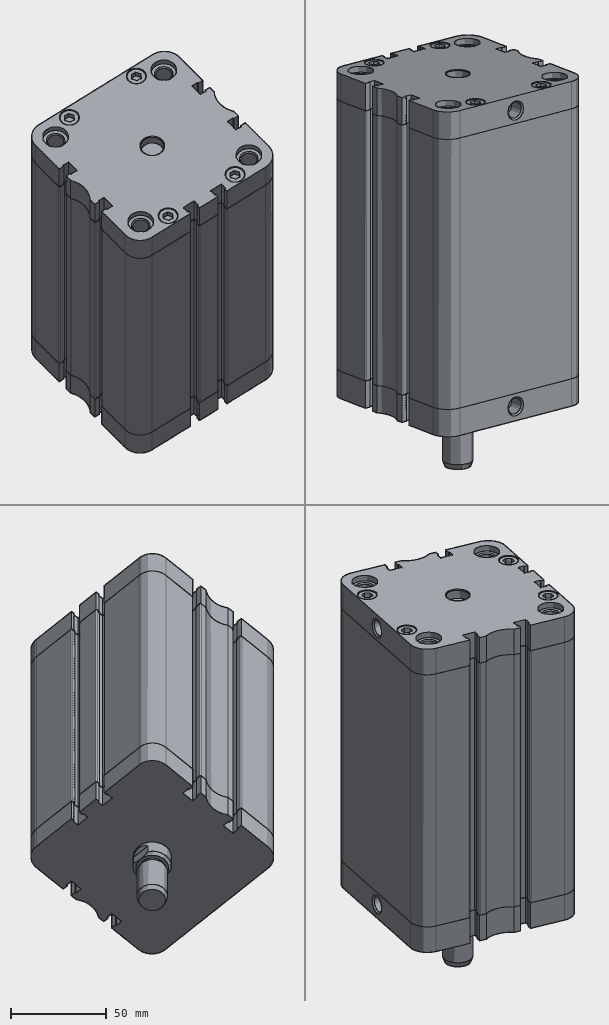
import cadquery as cq
import math

side = 95.5
corner_radius = 10.0
total_length = 216.0
rod_reach = 37.0
housing_length = total_length - rod_reach
cap_length = 15.1
barrel_length = housing_length - 2 * cap_length
rear_face = housing_length

slot_mouth = 5.5
slot_width = 6.7
slot_clearance = 0.2
face_slot_spacing = 30.0
face_slot_depth = 6.5
face_slot_lip = 3.2
side_slot_spacing = 18.1
side_slot_depth = 5.2
side_slot_lip = 2.2
groove_width = 16.5
groove_depth = 2.5
slot_edge_radius = 0.6
groove_edge_radius = 1.0

mount_spacing = 72.0
mount_bore = 13.5
mount_bore_depth = 3.2
mount_rim = 9.7
mount_hole = 8.5
screw_x = 41.7
screw_y = 22.2
screw_recess = 10.4
screw_recess_floor = 9.7
socket_flats = 5.0
socket_depth = 3.2
centre_hole = 12.0
centre_rim = 13.0
centre_hole_depth = 5.2
port_rim = 10.4
port_hole = 8.6
port_depth = 8.6
port_inset = 8.0
port_passage = 5.0
port_passage_depth = 17.3

rod_diameter = 20.0
shoulder_length = 9.5
shoulder_chamfer = 1.5
flats_width = 17.0
flats_start = 3.0
neck_diameter = 13.5
thread_diameter = 16.0
thread_start = 11.7
thread_lead_in = 0.9
thread_end_chamfer = 3.0
thread_end_diameter = 13.8


def slot_cutter(mouth, width, depth, lip, length):
    """T-slot that opens at Y = 0 and goes down to Y = -depth, centred on X = 0."""
    neck = cq.Workplane("XY").rect(mouth, 2 * depth).extrude(length)
    head_depth = depth - lip
    head = cq.Workplane("XY").center(0, -lip - head_depth / 2).rect(width, head_depth).extrude(length)
    return neck.union(head)


def groove_cutter(length):
    """Cylinder whose arc is groove_width wide at Y = 0 and reaches down to Y = -groove_depth."""
    radius = (groove_width**2 / 4 + groove_depth**2) / (2 * groove_depth)
    return cq.Workplane("XY").center(0, radius - groove_depth).circle(radius).extrude(length)


def profile_bar(length, clearance):
    """Length of the housing profile, its slots widened by the clearance."""
    bar = cq.Workplane("XY").rect(side, side).extrude(length).edges("|Z").fillet(corner_radius)
    mouth = slot_mouth + 2 * clearance
    width = slot_width + 2 * clearance
    face_slot = slot_cutter(mouth, width, face_slot_depth + clearance, face_slot_lip - clearance, length)
    side_slot = slot_cutter(mouth, width, side_slot_depth + clearance, side_slot_lip - clearance, length)
    for sign in (-1, 1):
        face_cut = face_slot.translate((sign * face_slot_spacing / 2, side / 2, 0))
        bar = bar.cut(face_cut).cut(face_cut.mirror("XZ"))
        side_cut = side_slot.translate((sign * side_slot_spacing / 2, side / 2, 0))
        bar = bar.cut(side_cut.rotate((0, 0, 0), (0, 0, 1), -90))
    groove = groove_cutter(length).translate((0, side / 2, 0))
    return bar.cut(groove).cut(groove.mirror("XZ"))


def edge_at(x, y):
    """Selector for the lengthwise edge through (x, y)."""
    reach = 0.02
    return cq.selectors.BoxSelector(
        (x - reach, y - reach, -reach), (x + reach, y + reach, barrel_length + reach), boundingbox=True
    )


def make_barrel():
    """Profile bar between the caps, with rounded slot and groove edges."""
    barrel = profile_bar(barrel_length, 0)
    half = side / 2
    for sign in (-1, 1):
        for edge in (-slot_mouth / 2, slot_mouth / 2):
            for slot in (-face_slot_spacing / 2, face_slot_spacing / 2):
                barrel = barrel.edges(edge_at(slot + edge, sign * half)).fillet(slot_edge_radius)
            side_edge = sign * side_slot_spacing / 2 + edge
            barrel = barrel.edges(edge_at(half, side_edge)).fillet(slot_edge_radius)
        for edge in (-groove_width / 2, groove_width / 2):
            barrel = barrel.edges(edge_at(edge, sign * half)).fillet(groove_edge_radius)
    return barrel.translate((0, 0, cap_length))


def cone(large, small):
    """45 degree countersink, wide end at Z = 0 and narrow end below it."""
    depth = (large - small) / 2
    narrow_end = cq.Workplane("XY", origin=(0, 0, -depth)).circle(small / 2)
    return narrow_end.workplane(offset=depth).circle(large / 2).loft()


def plain_hole(diameter, depth):
    """Round cutter from Z = 0 downwards."""
    return cq.Workplane("XY").circle(diameter / 2).extrude(-depth)


def from_left_side(cutter):
    """Turn a downward cutter so that it enters the -X side along +X."""
    return cutter.rotate((0, 0, 0), (0, 1, 0), -90).translate((-side / 2, 0, 0))


def port_cutter():
    """Countersunk air port."""
    return from_left_side(plain_hole(port_hole, port_depth).union(cone(port_rim, port_hole)))


def passage_cutter():
    """Narrow air passage that carries on from the port."""
    return from_left_side(plain_hole(port_passage, port_passage_depth))


def mount_cutter():
    """Stepped mounting hole, entering from Z = 0 downwards."""
    rim = cone(mount_rim, mount_hole).translate((0, 0, -mount_bore_depth))
    return plain_hole(mount_bore, mount_bore_depth).union(rim).union(plain_hole(mount_hole, cap_length))


def screw_cutter():
    """Shallow countersink with a hexagon socket in its floor, entering from Z = 0 downwards."""
    corners = socket_flats / math.cos(math.pi / 6)
    socket = cq.Workplane("XY").polygon(6, corners).extrude(-socket_depth)
    return cone(screw_recess, screw_recess_floor).union(socket.rotate((0, 0, 0), (0, 0, 1), 90))


def make_rear_cap():
    """Cap with stepped mounting holes, screw sockets, a centring hole and an air port."""
    cap = profile_bar(cap_length, slot_clearance).translate((0, 0, rear_face - cap_length))
    face = cq.Workplane("XY", origin=(0, 0, rear_face))
    mounts = face.rect(mount_spacing, mount_spacing, forConstruction=True).vertices()
    cap = cap.cut(mounts.eachpoint(mount_cutter().val(), combine=False))
    screws = face.rect(2 * screw_x, 2 * screw_y, forConstruction=True).vertices()
    cap = cap.cut(screws.eachpoint(screw_cutter().val(), combine=False))
    centre = plain_hole(centre_hole, centre_hole_depth).union(cone(centre_rim, centre_hole))
    cap = cap.cut(centre.translate((0, 0, rear_face)))
    port = port_cutter().union(passage_cutter())
    return cap.cut(port.translate((0, 0, rear_face - port_inset)))


def make_front_cap():
    """Cap with the rod's through hole and an air port."""
    cap = profile_bar(cap_length, slot_clearance)
    cap = cap.cut(cq.Workplane("XY").circle(rod_diameter / 2).extrude(cap_length))
    return cap.cut(port_cutter().translate((0, 0, port_inset)))


def make_rod():
    """Rod from the front cap's inner face to its threaded end."""
    radius = rod_diameter / 2
    neck_radius = neck_diameter / 2
    thread_radius = thread_diameter / 2
    outline = [
        (0, cap_length),
        (radius, cap_length),
        (radius, -shoulder_length + shoulder_chamfer),
        (radius - shoulder_chamfer, -shoulder_length),
        (neck_radius, -shoulder_length),
        (neck_radius, -thread_start),
        (thread_radius, -thread_start - thread_lead_in),
        (thread_radius, -rod_reach + thread_end_chamfer),
        (thread_end_diameter / 2, -rod_reach),
        (0, -rod_reach),
    ]
    rod = cq.Workplane("XZ").polyline(outline).close().revolve(360, (0, 0, 0), (0, 1, 0))
    depth = radius - flats_width / 2
    flat = (
        cq.Workplane("XZ")
        .moveTo(flats_width / 2, -flats_start)
        .lineTo(radius, -flats_start + depth)
        .lineTo(radius, -shoulder_length)
        .lineTo(flats_width / 2, -shoulder_length)
        .close()
        .extrude(radius, both=True)
    )
    return rod.cut(flat).cut(flat.mirror("YZ"))


barrel = make_barrel()
rear_cap = make_rear_cap()
front_cap = make_front_cap()
rod = make_rod()

result = cq.Compound.makeCompound([barrel.val(), rear_cap.val(), front_cap.val(), rod.val()])